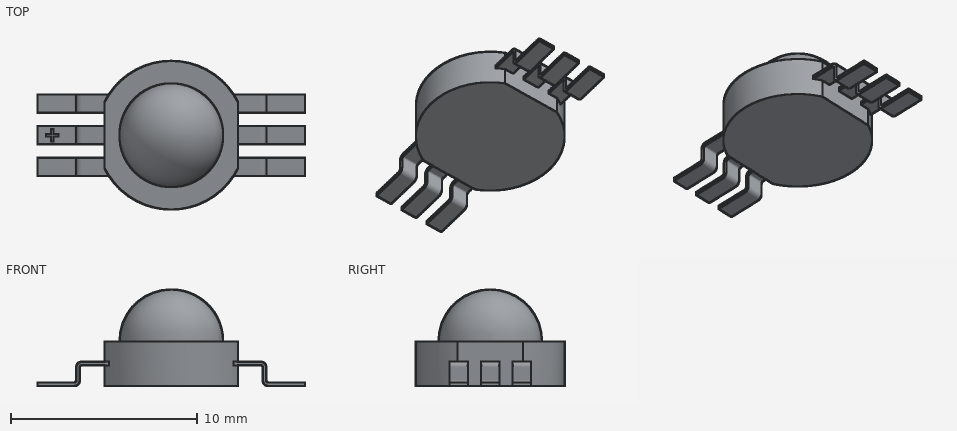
import cadquery as cq

body_diameter = 8.0
body_height = 2.4
flat_spacing = 7.2
lens_radius = 2.8

lead_span = 14.4
lead_width = 1.0
lead_pitch = 1.7
lead_thickness = 0.2
lead_top = 1.31
foot_length = 2.09
inner_bend_radius = 0.1
outer_bend_radius = inner_bend_radius + lead_thickness
lead_embedding = 0.72

mark_length = 0.68
mark_line_width = 0.15
mark_depth = 0.1
mark_from_tip = 0.8


def make_body():
    housing = cq.Workplane("XY").circle(body_diameter / 2).extrude(body_height)
    flats = cq.Workplane("XY").rect(flat_spacing, body_diameter).extrude(body_height)
    return housing.intersect(flats)


def make_lens():
    return (
        cq.Workplane("XZ", origin=(0, 0, body_height))
        .lineTo(lens_radius, 0)
        .radiusArc((0, lens_radius), -lens_radius)
        .close()
        .revolve(360, (0, 0), (0, 1))
    )


def make_left_lead(y_center):
    tip = -lead_span / 2
    riser_outer = tip + foot_length
    riser_inner = riser_outer + lead_thickness
    root = -flat_spacing / 2 + lead_embedding
    return (
        cq.Workplane("XZ", origin=(0, y_center + lead_width / 2, 0))
        .moveTo(tip, 0)
        .lineTo(riser_inner - outer_bend_radius, 0)
        .radiusArc((riser_inner, outer_bend_radius), -outer_bend_radius)
        .lineTo(riser_inner, lead_top - lead_thickness - inner_bend_radius)
        .radiusArc((riser_inner + inner_bend_radius, lead_top - lead_thickness), inner_bend_radius)
        .lineTo(root, lead_top - lead_thickness)
        .lineTo(root, lead_top)
        .lineTo(riser_outer + outer_bend_radius, lead_top)
        .radiusArc((riser_outer, lead_top - outer_bend_radius), -outer_bend_radius)
        .lineTo(riser_outer, lead_thickness + inner_bend_radius)
        .radiusArc((riser_outer - inner_bend_radius, lead_thickness), inner_bend_radius)
        .lineTo(tip, lead_thickness)
        .close()
        .extrude(lead_width)
    )


def make_polarity_mark():
    mark_center = (-lead_span / 2 + mark_from_tip, 0, lead_thickness)
    plane = cq.Workplane("XY", origin=mark_center)
    along_x = plane.rect(mark_length, mark_line_width).extrude(-mark_depth)
    along_y = plane.rect(mark_line_width, mark_length).extrude(-mark_depth)
    return along_x.union(along_y)


result = make_body().union(make_lens())
for row in (-1, 0, 1):
    left_lead = make_left_lead(row * lead_pitch)
    result = result.union(left_lead).union(left_lead.mirror("YZ"))
result = result.cut(make_polarity_mark())